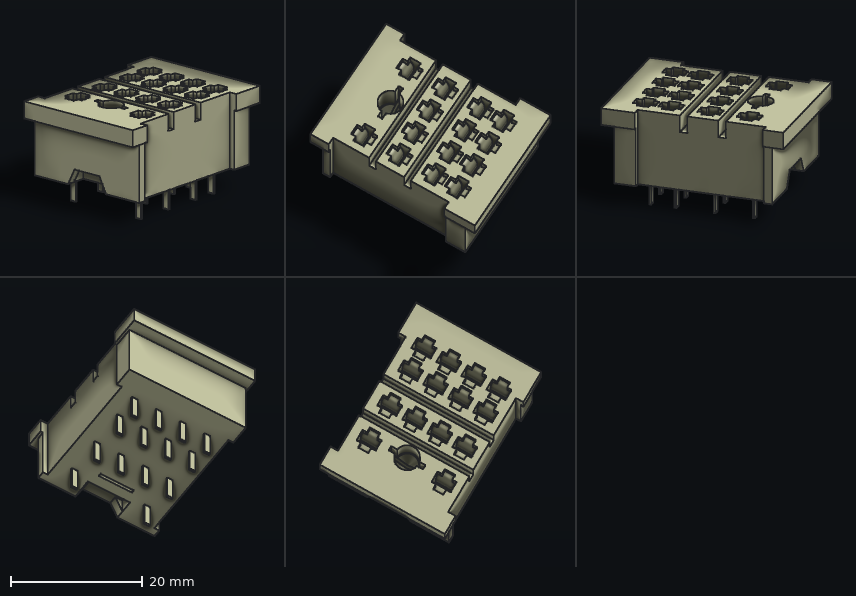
import cadquery as cq
import math

cap_width = 22.0
cap_length = 29.5
cap_thickness = 2.75
body_width = 21.15
body_length = 25.55
body_height = 12.25
waist_width = 19.4
waist_back = 9.25
waist_front = -11.45

groove_width = 1.2
groove_centers = (1.85, -4.4)

column_count = 4
column_pitch = 4.4
column_offset = 0.2
columns = [column_offset + (i - (column_count - 1) / 2) * column_pitch for i in range(column_count)]
outer_columns = [columns[0], columns[-1]]
row_spacing = 6.35
back_row = 9.12
second_row = 5.02
third_row = second_row - row_spacing
front_row = third_row - row_spacing
contacts = [(x, y) for y in (back_row, second_row, third_row) for x in columns]
contacts += [(x, front_row) for x in outer_columns]

pocket_width = 3.33
pocket_side_length = 1.85
pocket_neck_width = 1.8
pocket_length = 3.63
lip_radius = 1.75
lip_center_y = (back_row - second_row) / 2
lip_end_depth = 0.95
pocket_depth = 4.13

pin_width = 1.0
pin_thickness = 0.32
pin_length = 4.25
pin_shift = -0.83

hole_y = -7.17
hole_radius = 1.98
hole_depth = 4.42
cone_radius = 1.83
cone_angle = 59.0
key_length = 6.02
key_width = 0.77
through_width = 0.5

notch_top_width = 5.05
notch_bottom_width = 7.65
notch_height = 2.63
front_wall = 1.42
recess_length = 2.12


def block(width, length, bottom, top, x=0, y=0):
    """Box centred on (x, y) between two heights."""
    return cq.Workplane("XY", origin=(x, y, bottom)).rect(width, length).extrude(top - bottom)


def housing():
    """Body and overhanging cap, narrowed at the waist, with the cross grooves."""
    body = block(body_width, body_length, 0, body_height)
    body = body.union(block(cap_width, cap_length, body_height - cap_thickness, body_height))
    waist_length = waist_back - waist_front
    waist_y = (waist_back + waist_front) / 2
    relief_width = (cap_width - waist_width) / 2
    relief_x = (cap_width + waist_width) / 4
    for side in (-1, 1):
        body = body.cut(block(relief_width, waist_length, 0, body_height, side * relief_x, waist_y))
    for y in groove_centers:
        body = body.cut(block(cap_width, groove_width, body_height - cap_thickness, body_height, 0, y))
    return body


def contact_pocket():
    """Plus-shaped pocket at the origin; two round lips leave a narrow slit down to a flat floor."""
    end_y = pocket_length / 2
    end_z = body_height - lip_end_depth
    end_angle = math.asin((lip_center_y - end_y) / lip_radius)
    middle_angle = (end_angle + math.pi / 2) / 2
    slit_z = end_z - lip_radius * math.cos(end_angle)
    slit_y = lip_center_y - lip_radius
    middle_y = lip_center_y - lip_radius * math.sin(middle_angle)
    middle_z = slit_z + lip_radius * math.cos(middle_angle)
    floor_z = body_height - pocket_depth
    profile = (
        cq.Workplane("YZ", origin=(-pocket_width / 2, 0, 0))
        .moveTo(-end_y, body_height)
        .lineTo(-end_y, end_z)
        .threePointArc((-middle_y, middle_z), (-slit_y, slit_z))
        .lineTo(-slit_y, floor_z)
        .lineTo(slit_y, floor_z)
        .lineTo(slit_y, slit_z)
        .threePointArc((middle_y, middle_z), (end_y, end_z))
        .lineTo(end_y, body_height)
        .close()
        .extrude(pocket_width)
    )
    plus = block(pocket_width, pocket_side_length, 0, body_height)
    plus = plus.union(block(pocket_neck_width, pocket_length, 0, body_height))
    return profile.intersect(plus)


def keyed_hole():
    """Round hole with a conical bottom, a key slot and a thinner slot through the base."""
    ledge_z = body_height - hole_depth
    cone_height = cone_radius / math.tan(math.radians(cone_angle))
    bore = cq.Workplane("XY", origin=(0, hole_y, ledge_z)).circle(hole_radius).extrude(hole_depth)
    cone = cq.Workplane(cq.Solid.makeCone(0, cone_radius, cone_height))
    cone = cone.translate((0, hole_y, ledge_z - cone_height))
    key = block(key_length, key_width, ledge_z, body_height, 0, hole_y)
    through = block(key_length, through_width, 0, body_height, 0, hole_y)
    return bore.union(cone).union(key).union(through)


def front_notch():
    """Trapezoidal notch, wider at the underside, opening into a rectangular recess."""
    wall_back = -body_length / 2 + front_wall
    notch = (
        cq.Workplane("XZ", origin=(0, wall_back, 0))
        .polyline([
            (-notch_bottom_width / 2, 0),
            (-notch_top_width / 2, notch_height),
            (notch_top_width / 2, notch_height),
            (notch_bottom_width / 2, 0),
        ])
        .close()
        .extrude(front_wall)
    )
    recess_y = wall_back + recess_length / 2
    return notch.union(block(notch_bottom_width, recess_length, 0, notch_height, 0, recess_y))


result = housing().cut(keyed_hole()).cut(front_notch())
pocket = contact_pocket()
for x, y in contacts:
    result = result.cut(pocket.translate((x, y, 0)))
    result = result.union(block(pin_width, pin_thickness, -pin_length, 0, x, y + pin_shift))